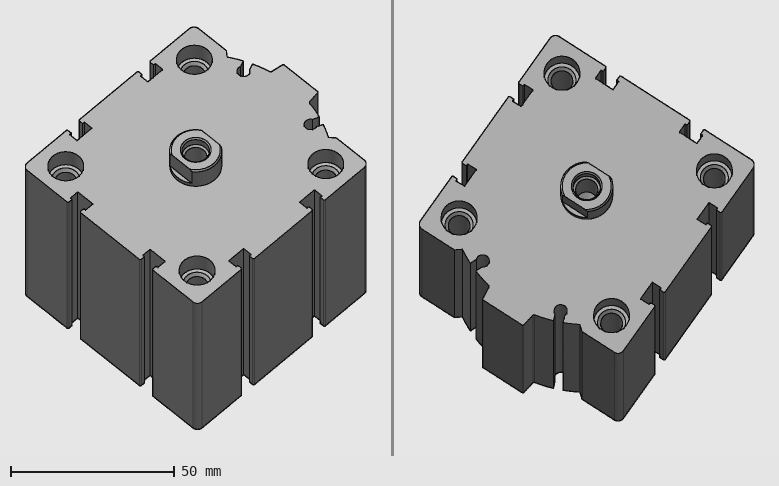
import cadquery as cq
import math

width = 75.0
half_width = width / 2
body_height = 66.0
corner_radius = 2.0

crown_radius = 42.0
notch_x = 21.7
notch_slope = 40.0
key_top_y = 46.0
key_top_half_width = 7.5
key_taper = 8.0
key_root_radius = 0.5
key_tip_radius = 0.3

sensor_angle = 22.0
sensor_center_radius = 38.4
sensor_diameter = 4.0
sensor_mouth = 3.0

slot_offset = 15.5
slot_depth = 5.0
slot_width = 6.5
slot_mouth = 5.0
slot_lip = 1.8
slot_mouth_radius = 0.4

hole_offset = 28.15
hole_diameter = 6.65
hole_chamfer_diameter = 8.57
counterbore_diameter = 11.0
counterbore_depth = 6.8

rod_diameter = 16.0
rod_projection = 8.0
rod_insertion = 20.0
rod_chamfer = 0.5
across_flats = 13.0
flat_length = 6.5

center_mouth_diameter = 9.4
center_relief_diameter = 8.4
center_relief_depth = 3.0
center_bore_diameter = 6.8
center_bore_depth = 18.0
seat_half_angle = 60.0
drill_half_angle = 59.0

rod_top = body_height + rod_projection


def crown_y(x):
    return math.sqrt(crown_radius**2 - x**2)


def vertical_edge_pair(x, y):
    """Selector for the vertical edges at (-x, y) and (x, y)."""
    mid_height = body_height / 2
    left = cq.selectors.NearestToPointSelector((-x, y, mid_height))
    right = cq.selectors.NearestToPointSelector((x, y, mid_height))
    return left + right


def profile():
    """Square with rounded corners, one side raised to the crown and its key."""
    notch_y = crown_y(notch_x)
    flat_end_x = notch_x + (half_width - notch_y) / math.tan(math.radians(notch_slope))
    key_slope = math.tan(math.radians(key_taper))
    flank_start = key_top_half_width + key_slope * key_top_y
    quad = 1 + key_slope**2
    discriminant = crown_radius**2 * quad - flank_start**2
    key_root_y = (flank_start * key_slope + math.sqrt(discriminant)) / quad
    key_root_x = flank_start - key_slope * key_root_y
    arc_mid_x = (key_root_x + notch_x) / 2
    arc_mid_y = crown_y(arc_mid_x)

    block = (
        cq.Workplane("XY")
        .moveTo(-half_width, -half_width)
        .lineTo(half_width, -half_width)
        .lineTo(half_width, half_width)
        .lineTo(flat_end_x, half_width)
        .lineTo(notch_x, notch_y)
        .threePointArc((arc_mid_x, arc_mid_y), (key_root_x, key_root_y))
        .lineTo(key_top_half_width, key_top_y)
        .lineTo(-key_top_half_width, key_top_y)
        .lineTo(-key_root_x, key_root_y)
        .threePointArc((-arc_mid_x, arc_mid_y), (-notch_x, notch_y))
        .lineTo(-flat_end_x, half_width)
        .lineTo(-half_width, half_width)
        .close()
        .extrude(body_height)
    )

    for y in (-half_width, half_width):
        block = block.edges(vertical_edge_pair(half_width, y)).fillet(corner_radius)
    block = block.edges(vertical_edge_pair(key_root_x, key_root_y)).fillet(key_root_radius)
    return block.edges(vertical_edge_pair(key_top_half_width, key_top_y)).fillet(key_tip_radius)


def t_slot():
    """Cutter for a T-slot in the -Y face, centered on X = 0, with a rounded mouth."""
    face = -half_width
    half_mouth = slot_mouth / 2
    flared = half_mouth + slot_mouth_radius
    bend = slot_mouth_radius * (1 - math.sqrt(0.5))
    lip = (
        cq.Workplane("XY")
        .moveTo(-flared, face)
        .lineTo(flared, face)
        .threePointArc((half_mouth + bend, face + bend), (half_mouth, face + slot_mouth_radius))
        .lineTo(half_mouth, face + slot_depth)
        .lineTo(-half_mouth, face + slot_depth)
        .lineTo(-half_mouth, face + slot_mouth_radius)
        .threePointArc((-half_mouth - bend, face + bend), (-flared, face))
        .close()
        .extrude(body_height)
    )
    pocket_depth = slot_depth - slot_lip
    pocket = (
        cq.Workplane("XY")
        .center(0, face + slot_lip + pocket_depth / 2)
        .rect(slot_width, pocket_depth)
        .extrude(body_height)
    )
    return lip.union(pocket)


def sensor_groove():
    """Cutter for a round-bottomed groove, open outward along +Y."""
    mouth_length = key_top_y - sensor_center_radius
    round_bottom = (
        cq.Workplane("XY")
        .center(0, sensor_center_radius)
        .circle(sensor_diameter / 2)
        .extrude(body_height)
    )
    mouth = (
        cq.Workplane("XY")
        .center(0, sensor_center_radius + mouth_length / 2)
        .rect(sensor_mouth, mouth_length)
        .extrude(body_height)
    )
    return round_bottom.union(mouth)


def corner_hole():
    """Cutter for a through hole with a chamfered mouth below a counterbore."""
    bore = hole_diameter / 2
    mouth = hole_chamfer_diameter / 2
    wide = counterbore_diameter / 2
    floor = body_height - counterbore_depth
    return (
        cq.Workplane("XZ")
        .polyline([
            (0, 0),
            (bore, 0),
            (bore, floor - (mouth - bore)),
            (mouth, floor),
            (wide, floor),
            (wide, body_height),
            (0, body_height),
        ])
        .close()
        .revolve(360, (0, 0), (0, 1))
    )


def make_housing():
    body = profile()
    slot = t_slot()
    for face_angle in (-90, 0, 90):
        for offset in (-slot_offset, slot_offset):
            cutter = slot.translate((offset, 0, 0)).rotate((0, 0, 0), (0, 0, 1), face_angle)
            body = body.cut(cutter)
    groove = sensor_groove()
    for angle in (-sensor_angle, sensor_angle):
        body = body.cut(groove.rotate((0, 0, 0), (0, 0, 1), angle))
    hole = corner_hole()
    for x in (-hole_offset, hole_offset):
        for y in (-hole_offset, hole_offset):
            body = body.cut(hole.translate((x, y, 0)))
    rod_bore = (
        cq.Workplane("XY", origin=(0, 0, body_height - rod_insertion))
        .circle(rod_diameter / 2)
        .extrude(rod_insertion)
    )
    return body.cut(rod_bore)


def center_hole():
    """Cutter for the chamfered, stepped hole with a conical bottom in the rod end."""
    mouth = center_mouth_diameter / 2
    relief = center_relief_diameter / 2
    bore = center_bore_diameter / 2
    relief_floor = rod_top - center_relief_depth
    seat_height = (relief - bore) / math.tan(math.radians(seat_half_angle))
    bore_floor = rod_top - center_bore_depth
    tip_height = bore / math.tan(math.radians(drill_half_angle))
    return (
        cq.Workplane("XZ")
        .polyline([
            (0, rod_top),
            (mouth, rod_top),
            (relief, rod_top - (mouth - relief)),
            (relief, relief_floor),
            (bore, relief_floor - seat_height),
            (bore, bore_floor + tip_height),
            (0, bore_floor),
        ])
        .close()
        .revolve(360, (0, 0), (0, 1))
    )


def make_rod():
    rod = (
        cq.Workplane("XY", origin=(0, 0, body_height - rod_insertion))
        .circle(rod_diameter / 2)
        .extrude(rod_insertion + rod_projection)
        .faces(">Z")
        .chamfer(rod_chamfer)
    )
    flat_cut = (rod_diameter - across_flats) / 2
    for side in (-1, 1):
        flat = (
            cq.Workplane("XY", origin=(0, side * (across_flats + flat_cut) / 2, rod_top - flat_length))
            .rect(rod_diameter, flat_cut)
            .extrude(flat_length)
        )
        rod = rod.cut(flat)
    return rod.cut(center_hole())


housing = make_housing()
rod = make_rod()

result = cq.Compound.makeCompound([housing.val(), rod.val()])